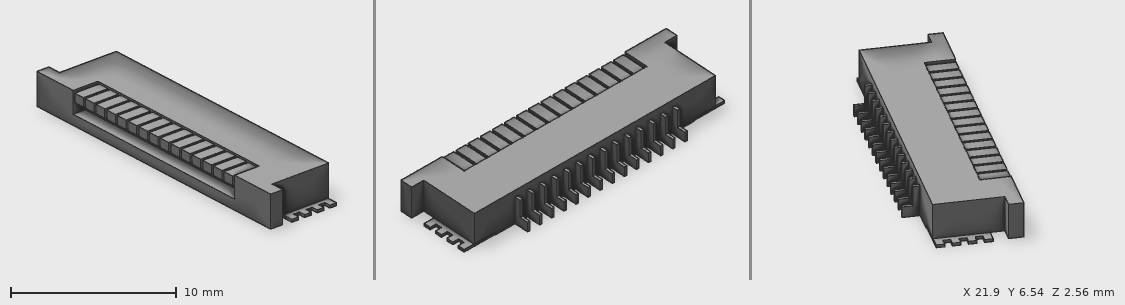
import cadquery as cq

FLANGE_WIDTH = 21.92
BODY_WIDTH = 19.92
BODY_BACK = 5.43
FLANGE_DEPTH = 0.95
TOP_Z = 2.56
BODY_BASE_Z = 0.2

POCKET_WIDTH = 15.1
POCKET_DEPTH = FLANGE_DEPTH
POCKET_FLOOR_Z = 0.95

PITCH = 1.0
BLOCK_COUNT = 15
BLOCK_WIDTH = 0.8
BLOCK_DEPTH = 1.94
BLOCK_BASE_Z = 1.8
BLOCK_TOP_Z = 2.43

PIN_COUNT = BLOCK_COUNT - 1
PIN_WIDTH = PITCH - BLOCK_WIDTH
PIN_SHANK_BACK = 5.88
PIN_SHANK_TOP_Z = 2.04
PIN_TAIL_BACK = 6.54
PIN_TAIL_TOP_Z = 0.73

TAB_OUTER_X = 10.76
TAB_INNER_X = 8.2
TAB_BACK = 5.38
TOOTH_COUNT = 4
TOOTH_WIDTH = 0.53
TOOTH_LENGTH = 0.48


def box(x_range, y_range, z_range):
    """Axis-aligned box between the given limits."""
    size = [high - low for low, high in (x_range, y_range, z_range)]
    corner = (x_range[0], y_range[0], z_range[0])
    return cq.Workplane("XY").box(*size, centered=False).translate(corner)


def centred(width, middle=0.0):
    """Limits of a span of the given width about its middle."""
    return (middle - width / 2, middle + width / 2)


def row(count):
    """X positions of a centred row at the contact pitch."""
    return [(i - (count - 1) / 2) * PITCH for i in range(count)]


def housing():
    """Body with front flange, open pocket and the recess that holds the blocks."""
    height = (BODY_BASE_Z, TOP_Z)
    body = box(centred(BODY_WIDTH), (0, BODY_BACK), height)
    flange = box(centred(FLANGE_WIDTH), (0, FLANGE_DEPTH), height)
    pocket = box(centred(POCKET_WIDTH), (0, POCKET_DEPTH), (POCKET_FLOOR_Z, TOP_Z))
    recess = box(centred(POCKET_WIDTH), (0, BLOCK_DEPTH), (BLOCK_BASE_Z, TOP_Z))
    return body.union(flange).cut(pocket).cut(recess)


def base():
    """Plate under the body, between the solder tabs, with a narrower tongue reaching forward."""
    thickness = (0, BODY_BASE_Z)
    plate = box((-TAB_INNER_X, TAB_INNER_X), (BLOCK_DEPTH, BODY_BACK), thickness)
    tongue = box(centred(POCKET_WIDTH), (POCKET_DEPTH, BLOCK_DEPTH), thickness)
    return plate.union(tongue)


def block(x):
    """Block overhanging the pocket."""
    return box(centred(BLOCK_WIDTH, x), (0, BLOCK_DEPTH), (BLOCK_BASE_Z, BLOCK_TOP_Z))


def pin(x):
    """L-shaped contact: tall shank against the body and a low tail."""
    profile = [
        (BODY_BACK, 0),
        (PIN_TAIL_BACK, 0),
        (PIN_TAIL_BACK, PIN_TAIL_TOP_Z),
        (PIN_SHANK_BACK, PIN_TAIL_TOP_Z),
        (PIN_SHANK_BACK, PIN_SHANK_TOP_Z),
        (BODY_BACK, PIN_SHANK_TOP_Z),
    ]
    pin_side = cq.Workplane("YZ").polyline(profile).close()
    return pin_side.extrude(PIN_WIDTH).translate((x - PIN_WIDTH / 2, 0, 0))


def solder_tab():
    """Comb-shaped plate under the +X end of the body."""
    thickness = (0, BODY_BASE_Z)
    tab_front = TAB_BACK - (TOOTH_COUNT - 1) * PITCH - TOOTH_WIDTH
    root_x = TAB_OUTER_X - TOOTH_LENGTH
    tab = box((TAB_INNER_X, root_x), (tab_front, TAB_BACK), thickness)
    for i in range(TOOTH_COUNT):
        tooth_front = tab_front + i * PITCH
        tooth_range = (tooth_front, tooth_front + TOOTH_WIDTH)
        tab = tab.union(box((root_x, TAB_OUTER_X), tooth_range, thickness))
    return tab


result = housing().union(base())
for block_x in row(BLOCK_COUNT):
    result = result.union(block(block_x))
for pin_x in row(PIN_COUNT):
    result = result.union(pin(pin_x))
right_tab = solder_tab()
result = result.union(right_tab).union(right_tab.mirror("YZ"))